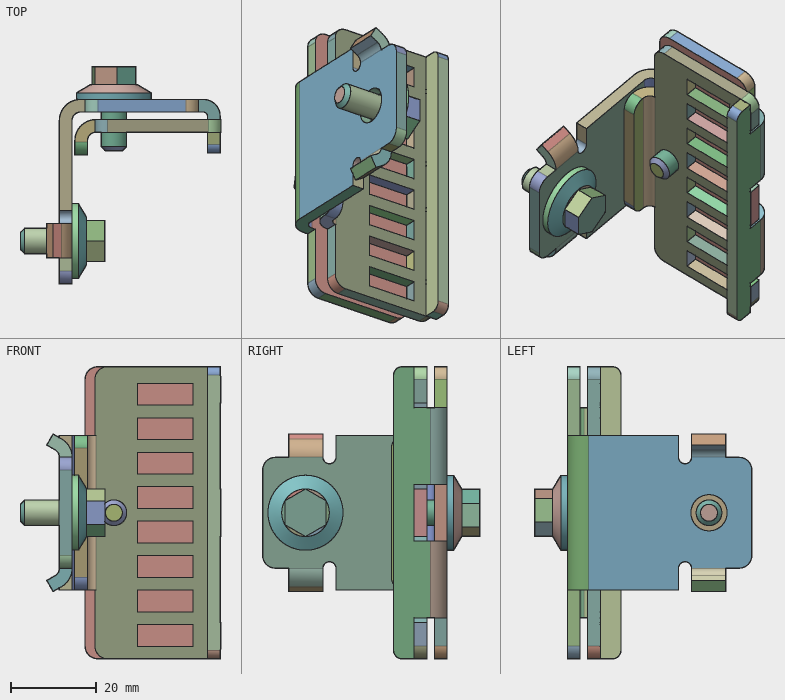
import cadquery as cq
import math

HEIGHT = 68.0
SHEET = 3.0
CORNER_RADIUS = 3.0
BEND_INNER = 2.0
BEND_OUTER = BEND_INNER + SHEET
ARM_HALF_HEIGHT = 18.0

BACK_LEFT = 6.0
BACK_RIGHT = 32.45

ARM_LENGTH = 43.0
ARM_WIDE_LENGTH = 25.9
BLADE_HALF_HEIGHT = 12.9
RELIEF_WIDTH = 3.0
EAR_WIDTH = 8.0
EAR_BEND_ANGLE = 60.0
EAR_FLAT = 2.25

FLANGE_FACE = 37.5
FLANGE_END = 12.5
FLANGE_CORNER_RADIUS = 2.0
FLANGE_BEND_INNER = 0.95
NECK_TOP = 24.5

PLATE_GAP = 1.7
CLAMP_BACK = -(SHEET + PLATE_GAP)
CLAMP_FRONT = CLAMP_BACK - SHEET
CLAMP_LIP_FACE = 3.6
CLAMP_LIP_END = -13.0
CLAMP_LEFT = 8.3
CLAMP_RIGHT = 37.7
TAB_CLEARANCE = 1.0
MIDDLE_TAB_HALF_HEIGHT = 5.5
NECK_BOTTOM = MIDDLE_TAB_HALF_HEIGHT + TAB_CLEARANCE

SLOT_COUNT = 8
SLOT_LENGTH = 12.85
SLOT_HEIGHT = 5.0
SLOT_PITCH = 8.0
SLOT_CENTER_X = 24.7
SLOT_ROW_CENTER_Z = -0.5

SHANK_DIAMETER = 6.0
SHANK_LENGTH = 12.05
TIP_CHAMFER = 1.0
COLLAR_DIAMETER = 17.5
COLLAR_THICKNESS = 1.5
CONE_HEIGHT = 1.9
HEX_CORNER_DIAMETER = 11.1
HEX_HEIGHT = 4.2
CLEARANCE_HOLE = 8.4
CLAMP_BOLT_X = 12.7
CLAMP_BOLT_HEX_ANGLE = 23.0
ARM_BOLT_EDGE_DISTANCE = 10.0
ARM_BOLT_Y = ARM_BOLT_EDGE_DISTANCE - ARM_LENGTH


def box(x_range, y_range, z_range):
    """Box between pairs of limits along the three axes."""
    limits = (x_range, y_range, z_range)
    size = [high - low for low, high in limits]
    center = [(low + high) / 2 for low, high in limits]
    return cq.Workplane("XY").box(*size).translate(tuple(center))


def bent_strip(leg_face, back_face, flat_end, leg_end, bend_inner, z_range):
    """L-bent sheet strip: a flat parallel to X that bends into a leg toward -Y.

    leg_face and back_face are the outer faces of the leg and of the flat.
    """
    side = math.copysign(1.0, flat_end - leg_face)
    bend_outer = bend_inner + SHEET
    center_x = leg_face + side * bend_outer
    center_y = back_face - bend_outer
    diagonal = math.sqrt(0.5)

    def bend_middle(radius):
        return (center_x - side * radius * diagonal, center_y + radius * diagonal)

    section = (
        cq.Workplane("XY", origin=(0, 0, z_range[0]))
        .moveTo(flat_end, back_face)
        .lineTo(center_x, back_face)
        .threePointArc(bend_middle(bend_outer), (leg_face, center_y))
        .lineTo(leg_face, leg_end)
        .lineTo(leg_face + side * SHEET, leg_end)
        .lineTo(leg_face + side * SHEET, center_y)
        .threePointArc(bend_middle(bend_inner), (center_x, back_face - SHEET))
        .lineTo(flat_end, back_face - SHEET)
        .close()
    )
    return section.extrude(z_range[1] - z_range[0])


def make_ear():
    """Upper ear: it leaves the blade edge and bends away toward -X."""
    angle = math.radians(EAR_BEND_ANGLE)

    def bend_point(radius, turn):
        return (radius * math.cos(turn) - BEND_INNER, BLADE_HALF_HEIGHT + radius * math.sin(turn))

    def tip_point(radius):
        x, z = bend_point(radius, angle)
        return (x - EAR_FLAT * math.sin(angle), z + EAR_FLAT * math.cos(angle))

    ear_start = -(ARM_WIDE_LENGTH + RELIEF_WIDTH)
    return (
        cq.Workplane("XZ", origin=(0, ear_start, 0))
        .moveTo(*bend_point(BEND_INNER, 0))
        .threePointArc(bend_point(BEND_INNER, angle / 2), bend_point(BEND_INNER, angle))
        .lineTo(*tip_point(BEND_INNER))
        .lineTo(*tip_point(BEND_OUTER))
        .lineTo(*bend_point(BEND_OUTER, angle))
        .threePointArc(bend_point(BEND_OUTER, angle / 2), bend_point(BEND_OUTER, 0))
        .close()
        .extrude(EAR_WIDTH)
    )


def make_arm():
    """Arm bent from the back plate, ending in a narrower blade with an ear on each edge."""
    arm_z = (-ARM_HALF_HEIGHT, ARM_HALF_HEIGHT)
    blade_z = (-BLADE_HALF_HEIGHT, BLADE_HALF_HEIGHT)
    wide_part = bent_strip(0, 0, BACK_LEFT + SHEET, -ARM_WIDE_LENGTH, BEND_INNER, arm_z)
    blade = box((0, SHEET), (-ARM_LENGTH, -ARM_WIDE_LENGTH), blade_z)
    blade = blade.edges("|X and <Y").fillet(CORNER_RADIUS)
    ear = make_ear()
    reliefs = (
        cq.Workplane("YZ")
        .pushPoints([(-ARM_WIDE_LENGTH - RELIEF_WIDTH / 2, z) for z in blade_z])
        .circle(RELIEF_WIDTH / 2)
        .extrude(SHEET)
    )
    bolt_hole = cq.Workplane("YZ").center(ARM_BOLT_Y, 0).circle(CLEARANCE_HOLE / 2).extrude(SHEET)
    return wide_part.union(blade).cut(reliefs).union(ear).union(ear.mirror("XY")).cut(bolt_hole)


def make_flange():
    """Full-height flange bar with two bent necks that lead back to the back plate."""
    bar = box(
        (FLANGE_FACE - SHEET, FLANGE_FACE),
        (-FLANGE_END, CLAMP_FRONT),
        (-HEIGHT / 2, HEIGHT / 2),
    )
    flange = bar.edges("|X and <Y").fillet(FLANGE_CORNER_RADIUS)
    for z_range in ((NECK_BOTTOM, NECK_TOP), (-NECK_TOP, -NECK_BOTTOM)):
        neck = bent_strip(FLANGE_FACE, 0, BACK_RIGHT - SHEET, CLAMP_FRONT, FLANGE_BEND_INNER, z_range)
        flange = flange.union(neck)
    return flange


def make_bracket():
    back = box((BACK_LEFT, BACK_RIGHT), (-SHEET, 0), (-HEIGHT / 2, HEIGHT / 2))
    back = back.edges("|Y").fillet(CORNER_RADIUS)
    bolt_hole = cq.Workplane("XZ").center(CLAMP_BOLT_X, 0).circle(CLEARANCE_HOLE / 2).extrude(SHEET)
    return back.union(make_arm()).union(make_flange()).cut(bolt_hole)


def make_clamp():
    """Slotted plate with a bent lip on the left and three tabs that interlock with the flange necks."""
    thickness = (CLAMP_FRONT, CLAMP_BACK)
    plate = box((CLAMP_LEFT, CLAMP_RIGHT), thickness, (-HEIGHT / 2, HEIGHT / 2))
    plate = plate.edges("|Y").fillet(CORNER_RADIUS)

    lip_z = (-ARM_HALF_HEIGHT, ARM_HALF_HEIGHT)
    lip = bent_strip(
        CLAMP_LIP_FACE, CLAMP_BACK, CLAMP_LEFT + SHEET, CLAMP_LIP_END, BEND_INNER, lip_z
    )
    lip = lip.edges("|X and <Y").fillet(CORNER_RADIUS)

    notch_x = (FLANGE_FACE - SHEET, CLAMP_RIGHT)
    notch_z = (MIDDLE_TAB_HALF_HEIGHT, NECK_TOP + TAB_CLEARANCE)
    notch = box(notch_x, thickness, notch_z)

    slots = (
        cq.Workplane("XZ", origin=(SLOT_CENTER_X, CLAMP_BACK, SLOT_ROW_CENTER_Z))
        .rarray(0.7, SLOT_PITCH, 1, SLOT_COUNT)
        .rect(SLOT_LENGTH, SLOT_HEIGHT)
        .extrude(SHEET)
    )
    bolt_hole = (
        cq.Workplane("XZ", origin=(CLAMP_BOLT_X, CLAMP_BACK, 0))
        .circle(SHANK_DIAMETER / 2)
        .extrude(SHEET)
    )
    return plate.union(lip).cut(notch).cut(notch.mirror("XY")).cut(slots).cut(bolt_hole)


def make_bolt(seat):
    """Bolt whose collar rests on the seat plane; one hexagon corner points along the plane's x direction."""
    shank = (
        cq.Workplane(seat)
        .circle(SHANK_DIAMETER / 2)
        .extrude(-SHANK_LENGTH)
        .faces(cq.selectors.DirectionMinMaxSelector(seat.zDir, False))
        .chamfer(TIP_CHAMFER)
    )
    collar = cq.Workplane(seat).circle(COLLAR_DIAMETER / 2).extrude(COLLAR_THICKNESS)
    cone = (
        cq.Workplane(seat)
        .workplane(offset=COLLAR_THICKNESS)
        .circle(COLLAR_DIAMETER / 2)
        .workplane(offset=CONE_HEIGHT)
        .circle(HEX_CORNER_DIAMETER / 2)
        .loft()
    )
    head = (
        cq.Workplane(seat)
        .workplane(offset=COLLAR_THICKNESS + CONE_HEIGHT)
        .polygon(6, HEX_CORNER_DIAMETER)
        .extrude(HEX_HEIGHT)
    )
    return shank.union(collar).union(cone).union(head)


hex_angle = math.radians(CLAMP_BOLT_HEX_ANGLE)
clamp_bolt_seat = cq.Plane(
    origin=(CLAMP_BOLT_X, 0, 0),
    xDir=(math.cos(hex_angle), 0, math.sin(hex_angle)),
    normal=(0, 1, 0),
)
arm_bolt_seat = cq.Plane(origin=(SHEET, ARM_BOLT_Y, 0), xDir=(0, 0, 1), normal=(1, 0, 0))

bracket = make_bracket()
clamp = make_clamp()
bolts = [make_bolt(seat) for seat in (clamp_bolt_seat, arm_bolt_seat)]

result = cq.Compound.makeCompound([bracket.val(), clamp.val(), *[bolt.val() for bolt in bolts]])